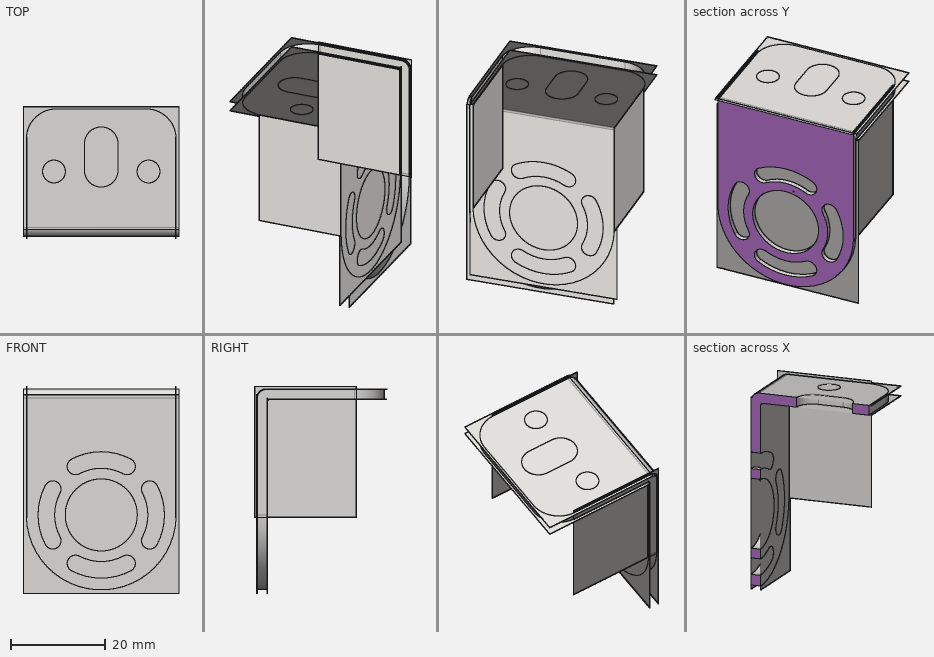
import cadquery as cq
import math


width = 31.75
depth = 27.05
thickness = 2.3
outer_bend_radius = 1.98
inner_bend_radius = 0.4
corner_radius = 6.35
end_radius = width / 2
bore_to_top = 26.7

bore_radius = 7.65
arc_slot_radius = 11.65
arc_slot_width = 3.5
arc_slot_half_angle = 28
arc_slot_count = 4

bolt_hole_radius = 2.4
bolt_hole_spacing = 20.0
bolt_hole_y = 13.8
long_slot_length = 12.75
long_slot_width = 7.1
long_slot_y = 16.85

skin = 0.15
overhang_share = 0.02


def block(x_range, y_range, z_range):
    """Box between the given limits along each axis."""
    sizes = [high - low for low, high in (x_range, y_range, z_range)]
    corner = (x_range[0], y_range[0], z_range[0])
    return cq.Workplane("XY").box(*sizes, centered=False).translate(corner)


def stretched(low, high):
    """Limits of a skin over a face that spans low to high."""
    overhang = overhang_share * (high - low)
    return low - overhang, high + overhang


def front_plane():
    """Sketch plane on the outer front face; its normal points to -Y."""
    return cq.Workplane("XZ")


def top_plane():
    """Sketch plane on the outer top face."""
    return cq.Workplane("XY", origin=(0, 0, bore_to_top))


def bracket_blank():
    """Bent plate with a half-round lower end and two rounded back corners."""
    inner_z = bore_to_top - thickness
    blank = (
        cq.Workplane("YZ")
        .moveTo(0, -end_radius)
        .lineTo(0, bore_to_top - outer_bend_radius)
        .radiusArc((outer_bend_radius, bore_to_top), outer_bend_radius)
        .lineTo(depth, bore_to_top)
        .lineTo(depth, inner_z)
        .lineTo(thickness + inner_bend_radius, inner_z)
        .radiusArc((thickness, inner_z - inner_bend_radius), -inner_bend_radius)
        .lineTo(thickness, -end_radius)
        .close()
        .extrude(width / 2, both=True)
    )
    front_outline = (
        front_plane()
        .moveTo(-end_radius, 0)
        .threePointArc((0, -end_radius), (end_radius, 0))
        .lineTo(end_radius, bore_to_top)
        .lineTo(-end_radius, bore_to_top)
        .close()
        .extrude(-depth)
    )
    return blank.intersect(front_outline).edges("|Z and >Y").fillet(corner_radius)


def arc_slot():
    """Curved slot above the bore, with round ends, through the front leg."""
    half_angle = math.radians(arc_slot_half_angle)
    inner_radius = arc_slot_radius - arc_slot_width / 2
    outer_radius = arc_slot_radius + arc_slot_width / 2

    def right_end(radius):
        return radius * math.sin(half_angle), radius * math.cos(half_angle)

    def left_end(radius):
        x, z = right_end(radius)
        return -x, z

    return (
        front_plane()
        .moveTo(*left_end(outer_radius))
        .threePointArc((0, outer_radius), right_end(outer_radius))
        .radiusArc(right_end(inner_radius), arc_slot_width / 2)
        .threePointArc((0, inner_radius), left_end(inner_radius))
        .radiusArc(left_end(outer_radius), arc_slot_width / 2)
        .close()
        .extrude(-thickness)
    )


def front_openings():
    openings = front_plane().circle(bore_radius).extrude(-thickness)
    slot = arc_slot()
    for index in range(arc_slot_count):
        angle = index * 360 / arc_slot_count
        openings = openings.union(slot.rotate((0, 0, 0), (0, 1, 0), angle))
    return openings


def top_openings():
    bolt_x = bolt_hole_spacing / 2
    bolt_holes = (
        top_plane()
        .pushPoints([(-bolt_x, bolt_hole_y), (bolt_x, bolt_hole_y)])
        .circle(bolt_hole_radius)
        .extrude(-thickness)
    )
    long_slot = (
        top_plane()
        .center(0, long_slot_y)
        .slot2D(long_slot_length, long_slot_width, 90)
        .extrude(-thickness)
    )
    return bolt_holes.union(long_slot)


def skin_x_range():
    """Limits in X of the skins over the legs and the bend."""
    return stretched(-width / 2, width / 2)


def leg_skins():
    """Skins over the outer and inner faces of both legs."""
    x_range = skin_x_range()
    inner_bend_end = thickness + inner_bend_radius
    layers = [
        (0, outer_bend_radius),
        (thickness - skin, inner_bend_end),
    ]
    skins = []
    for level, bend_end in layers:
        front_z = stretched(-end_radius, bore_to_top - bend_end)
        skins.append(block(x_range, (level, level + skin), front_z))
        top_z = bore_to_top - level
        skins.append(block(x_range, stretched(bend_end, depth), (top_z - skin, top_z)))
    return skins


def bend_skin():
    """Quarter-round skin along the outer bend, as wide as the leg skins."""
    x_range = skin_x_range()
    half_width = x_range[1]
    center = (outer_bend_radius, bore_to_top - outer_bend_radius)
    ring = (
        cq.Workplane("YZ")
        .center(*center)
        .circle(outer_bend_radius)
        .circle(outer_bend_radius - skin)
        .extrude(half_width, both=True)
    )
    quarter = block(
        x_range,
        (0, outer_bend_radius),
        (bore_to_top - outer_bend_radius, bore_to_top),
    )
    return ring.intersect(quarter)


def side_skins():
    """Rectangular skins flush with the two side faces, closing the sides of the angle."""
    y_range = stretched(0, depth - corner_radius)
    z_range = stretched(0, bore_to_top)
    right = block((width / 2 - skin, width / 2), y_range, z_range)
    return [right, right.mirror("YZ")]


result = bracket_blank().cut(front_openings()).cut(top_openings())
for part in leg_skins() + [bend_skin()] + side_skins():
    result = result.union(part, clean=False)